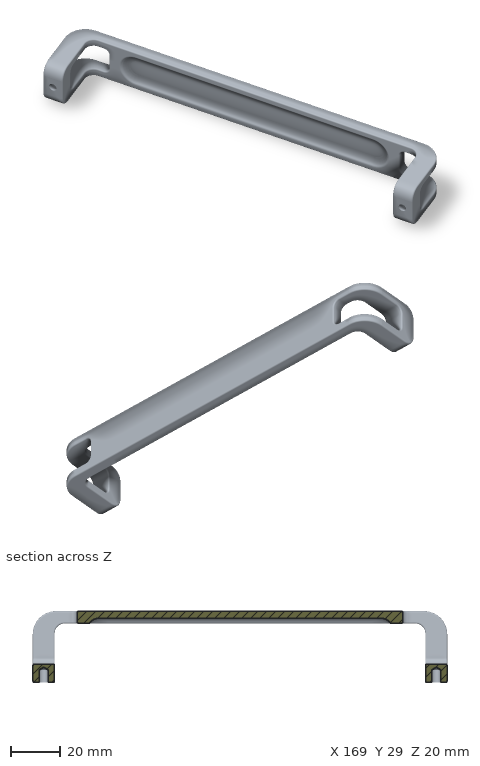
import cadquery as cq
import math

length = 169.0
depth = 29.0
height = 20.0
back_y = depth / 2
front_y = -back_y

leg_thickness = 9.0
grip_thickness = 5.0
outer_bend_radius = 9.5
inner_bend_radius = 4.0
foot_corner_radius = 5.0
edge_radius = 0.59

window_height = 12.5
window_reach = 18.0
foot_depth = 7.5
window_corner_radius = 2.7

recess_length = 123.7
recess_width = 15.5
recess_depth = 2.0
recess_rim_radius = 1.0
recess_floor_radius = 4.0

hole_diameter = 3.4
hole_spacing = length - leg_thickness
hole_depth = 5.0
drill_tip_angle = 118.0

leg_inner_x = length / 2 - leg_thickness
grip_front_y = back_y - grip_thickness
tolerance = 0.002


def make_bent_strip():
    """U-shaped strip with rounded bends and rounded foot corners."""
    outer = (
        cq.Workplane("XY")
        .box(length, depth, height)
        .edges("|Z and >Y")
        .fillet(outer_bend_radius)
    )
    inner = (
        cq.Workplane("XY")
        .box(2 * leg_inner_x, depth, height)
        .edges("|Z and >Y")
        .fillet(inner_bend_radius)
        .translate((0, -grip_thickness, 0))
    )
    return outer.cut(inner).faces("<Y").edges("|X").fillet(foot_corner_radius)


def make_window_cutter(side):
    """Space common to a rounded opening in the leg and one in the grip."""
    leg_opening = (
        cq.Workplane("XY")
        .box(length, depth, window_height)
        .edges("|X and <Y")
        .fillet(window_corner_radius)
        .translate((side * length / 2, foot_depth, 0))
    )
    grip_opening = (
        cq.Workplane("XY")
        .box(length, 2 * depth, window_height)
        .edges("|Y")
        .fillet(window_corner_radius)
        .translate((side * (length - window_reach), 0, 0))
    )
    return leg_opening.intersect(grip_opening)


def is_skin(face):
    """True for the faces that follow the bent outline, inside and outside."""
    center = face.Center()
    normal = face.normalAt(center)
    if face.geomType() == "CYLINDER":
        return abs(normal.z) < tolerance
    if abs(normal.x) > 1.7 - tolerance:
        return abs(center.x) > leg_inner_x - tolerance
    return abs(normal.y) > 1.7 - tolerance and center.y > grip_front_y - tolerance


def round_skin_edges(body):
    """Round the skin borders; a seam between two skin faces stays smooth."""
    skin_edges = [edge for face in body.faces().vals() if is_skin(face) for edge in face.Edges()]
    borders = [edge for edge in skin_edges if sum(edge.isSame(other) for other in skin_edges) == 1]
    return body.newObject(borders).fillet(edge_radius)


def draw_recess_half_section(plane):
    """Half the recess section, from its middle to the rim; the second axis is depth."""
    wall_angle = math.acos(1 - recess_depth / (recess_floor_radius + recess_rim_radius))
    rim = recess_width / 2
    floor_edge = rim - (recess_floor_radius + recess_rim_radius) * math.sin(wall_angle)

    def rim_point(angle):
        return rim - recess_rim_radius * math.sin(angle), recess_rim_radius * (1 - math.cos(angle))

    def floor_point(angle):
        return (
            floor_edge + recess_floor_radius * math.sin(angle),
            recess_depth - recess_floor_radius * (1 - math.cos(angle)),
        )

    return (
        cq.Workplane(plane)
        .lineTo(rim, 0)
        .threePointArc(rim_point(wall_angle / 2), rim_point(wall_angle))
        .threePointArc(floor_point(wall_angle / 2), (floor_edge, recess_depth))
        .lineTo(0, recess_depth)
        .close()
    )


def make_recess_cutter():
    """Shallow slot whose floor curves up and rolls over the rim in one smooth wall."""
    half_straight = (recess_length - recess_width) / 2
    half_trough = draw_recess_half_section("ZY").extrude(half_straight, both=True)
    round_end = draw_recess_half_section("XY").revolve(360, (0, 0, 0), (0, 1, 0))
    cutter = half_trough.union(half_trough.mirror("XY"))
    for side in (-1, 1):
        cutter = cutter.union(round_end.translate((side * half_straight, 0, 0)))
    return cutter.translate((0, grip_front_y, 0))


def make_hole_cutter(x):
    """Blind drilled hole with a conical tip, entering from the foot."""
    radius = hole_diameter / 2
    tip_depth = hole_depth + radius / math.tan(math.radians(drill_tip_angle / 2))
    return (
        cq.Workplane("XY")
        .polyline([(0, 0), (radius, 0), (radius, hole_depth), (0, tip_depth)])
        .close()
        .revolve(360, (0, 0, 0), (0, 1, 0))
        .translate((x, front_y, 0))
    )


result = make_bent_strip()
for side in (-1, 1):
    result = result.cut(make_window_cutter(side))
result = round_skin_edges(result)
result = result.cut(make_recess_cutter())
for side in (-1, 1):
    result = result.cut(make_hole_cutter(side * hole_spacing / 2))